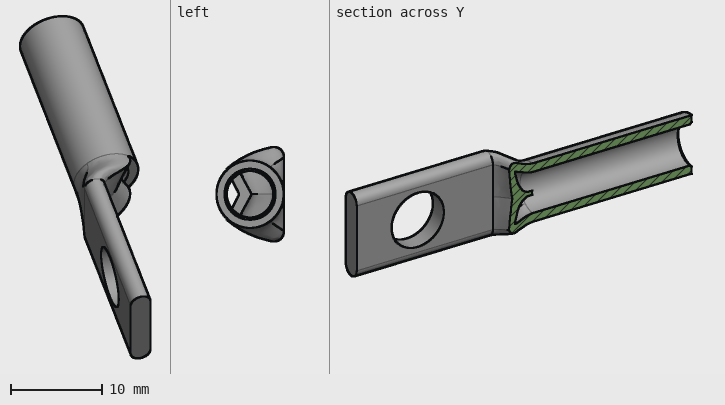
import cadquery as cq
import math

total_length = 42.4
barrel_length = 20.6
palm_start = 24.8

barrel_radius = 3.7
wall = 1.15
bore_radius = barrel_radius - wall
mouth_chamfer = 0.25

palm_width = 10.4
palm_thickness = 2.3
palm_back_y = -3.75
palm_mid_y = palm_back_y + palm_thickness / 2
hole_diameter = 6.75
hole_x = 34.55

outer_valley_y = 1.2
inner_valley_y = -0.15
outer_crest_angle = 46.0
inner_crest_angle = 65.0
seam_angle = 126.0
slit_thickness = 0.1
neck_steps = 4
sinking_delay = 1.6


def s_curve(t):
    """Smooth change from 0 to 1 with level ends."""
    return t * t * (3 - 2 * t)


def on_circle(radius, angle):
    """Point (y, z) on a barrel circle, at an angle in degrees from +Y towards +Z."""
    a = math.radians(angle)
    return radius * math.cos(a), radius * math.sin(a)


def dented_points(radius, valley_y, crest_angle):
    """Valley, crest, side, seam and back points of half of a V-dented circle."""
    side_angle = (crest_angle + seam_angle) / 2
    angles = (crest_angle, side_angle, seam_angle, 180)
    return [(valley_y, 0)] + [on_circle(radius, angle) for angle in angles]


def flat_points(width, thickness):
    """The matching five points of half of a round-ended flat section."""
    half = thickness / 2
    end_centre = width / 2 - half
    return [
        (palm_mid_y + half, 0),
        (palm_mid_y + half, end_centre),
        (palm_mid_y, width / 2),
        (palm_mid_y - half, end_centre),
        (palm_mid_y - half, 0),
    ]


def section_wire(x, points):
    """Closed wire across X, mirrored about the XY plane."""
    valley, crest, side, seam, back = [cq.Vector(x, y, z) for y, z in points]
    low_crest, low_side, low_seam = [cq.Vector(x, y, -z) for y, z in points[1:4]]
    if math.isclose(back.y, seam.y):
        back_edge = cq.Edge.makeLine(seam, low_seam)
    else:
        back_edge = cq.Edge.makeThreePointArc(seam, back, low_seam)
    return cq.Wire.assembleEdges([
        cq.Edge.makeLine(valley, crest),
        cq.Edge.makeThreePointArc(crest, side, seam),
        back_edge,
        cq.Edge.makeThreePointArc(low_seam, low_side, low_crest),
        cq.Edge.makeLine(low_crest, valley),
    ])


def neck_loft(start_points, end_points):
    """Loft with an S-shaped change from the dented section to the flat one."""
    wires = []
    for step in range(neck_steps + 1):
        t = step / neck_steps
        widening = s_curve(t)
        sinking = s_curve(t ** sinking_delay)
        y_blends = [sinking, sinking, widening, widening, widening]
        points = [
            (y0 + (y1 - y0) * y_blend, z0 + (z1 - z0) * widening)
            for (y0, z0), (y1, z1), y_blend in zip(start_points, end_points, y_blends)
        ]
        x = barrel_length + (palm_start - barrel_length) * t
        wires.append(section_wire(x, points))
    return cq.Workplane(cq.Solid.makeLoft(wires))


barrel = (
    cq.Workplane("YZ").circle(barrel_radius).circle(bore_radius).extrude(barrel_length)
    .faces("<X").edges("%CIRCLE").edges(cq.selectors.RadiusNthSelector(0)).chamfer(mouth_chamfer)
)

neck_outside = neck_loft(
    dented_points(barrel_radius, outer_valley_y, outer_crest_angle),
    flat_points(palm_width, palm_thickness),
)
neck_cavity = neck_loft(
    dented_points(bore_radius, inner_valley_y, inner_crest_angle),
    flat_points(palm_width - palm_thickness, slit_thickness),
)
neck = neck_outside.cut(neck_cavity)

palm_section = section_wire(palm_start, flat_points(palm_width, palm_thickness))
palm_length = total_length - palm_start
palm = cq.Workplane(cq.Solid.extrudeLinear(palm_section, [], cq.Vector(palm_length, 0, 0)))
stud_hole = (
    cq.Workplane("XZ", origin=(hole_x, palm_mid_y, 0))
    .circle(hole_diameter / 2).extrude(palm_thickness, both=True)
)

result = barrel.union(neck).union(palm).cut(stud_hole)